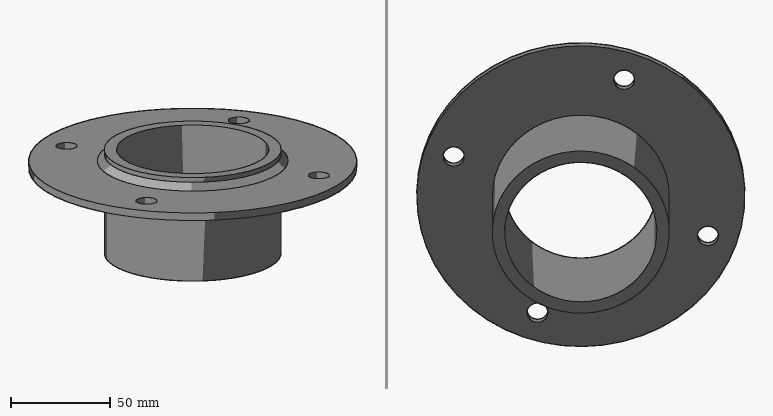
import cadquery as cq

tube_outer_diameter = 89.0
tube_bore_diameter = 76.5
tube_length = 55.0

flange_diameter = 165.0
flange_thickness = 4.0
tube_projection = 6.0
flange_top = tube_length - tube_projection
flange_bottom = flange_top - flange_thickness

weld_leg = 3.5

bolt_hole_diameter = 10.5
bolt_circle_diameter = 135.0
bolt_hole_count = 4


def make_body():
    """Revolve the tube, flange and weld bead about the Z axis."""
    bore_radius = tube_bore_diameter / 2
    tube_radius = tube_outer_diameter / 2
    flange_radius = flange_diameter / 2
    profile = [
        (bore_radius, 0),
        (tube_radius, 0),
        (tube_radius, flange_bottom),
        (flange_radius, flange_bottom),
        (flange_radius, flange_top),
        (tube_radius + weld_leg, flange_top),
        (tube_radius, flange_top + weld_leg),
        (tube_radius, tube_length),
        (bore_radius, tube_length),
    ]
    return cq.Workplane("XZ").polyline(profile).close().revolve(360, (0, 0), (0, 1))


def make_bolt_holes():
    """Cylinders through the flange, evenly spaced from the +X axis."""
    return (
        cq.Workplane("XY", origin=(0, 0, flange_bottom))
        .polarArray(bolt_circle_diameter / 2, 0, 360, bolt_hole_count)
        .circle(bolt_hole_diameter / 2)
        .extrude(flange_thickness)
    )


result = make_body().cut(make_bolt_holes())